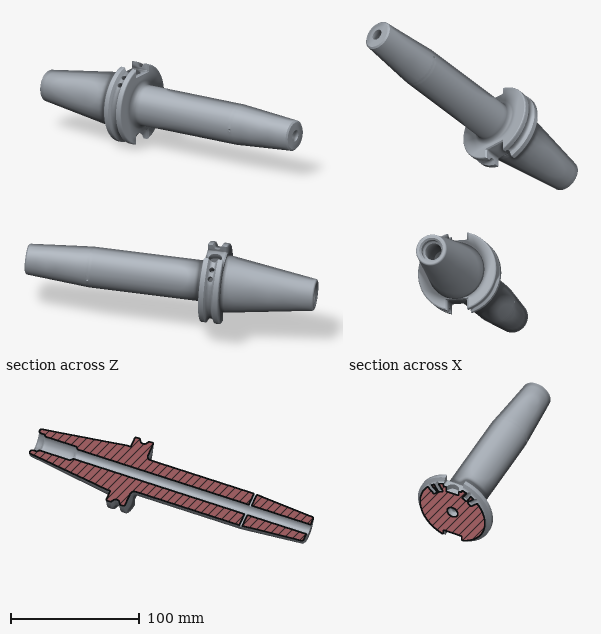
import cadquery as cq
import math


total_length = 228.2
shank_length = 68.2
nose_end = total_length - shank_length
flange_start = 3.2
flange_end = 19.0

gauge_diameter = 44.5
gauge_radius = gauge_diameter / 2
taper_slope = 7 / 48
shank_end_radius = gauge_radius - shank_length * taper_slope
shank_end_fillet = 1.4

flange_radius = 31.7
flange_fillet = 1.1
groove_center = 11.2
groove_width = 7.3
groove_floor_radius = 28.3
groove_flank_angle = math.radians(30)
groove_fillet = 1.8
groove_flank_run = (flange_radius - groove_floor_radius) * math.tan(groove_flank_angle)
groove_floor_half = groove_width / 2 - groove_flank_run

body_radius = 16.0
body_fillet = 3.2
nose_angle = math.radians(4.5)
nose_diameter = 24.0
nose_radius = nose_diameter / 2
nose_chamfer = 1.1
blend_length = 4.0

slot_width = 16.0
upper_slot_floor = 24.9
lower_slot_floor = 22.5
slot_corner_fillet = 1.0
slot_bevel_length = 1.1
slot_bevel_side = 1.4
slot_bevel_drop = 0.7

pocket_diameter = 10.3
pocket_depth = 4.5

radial_hole_diameter = 4.0
radial_hole_floor = 20.5
radial_hole_angles = (30, 45)

bore_diameter = 9.0
bore_radius = bore_diameter / 2
thread_radius = 6.6
thread_depth = 32.0
pilot_radius = 8.2
pilot_depth = 5.0
mouth_radius = 9.5

vent_diameter = 2.0
vent_position = 109.5


def make_blank():
    """Revolve the outer outline: shank, flange and body up to the nose."""
    blend_radius = blend_length / math.sin(nose_angle)
    corner_gap = blend_radius * math.tan(nose_angle / 2)
    corner = nose_end - (body_radius - nose_radius) / math.tan(nose_angle)
    blend_start = corner - corner_gap
    blend_end = blend_start + blend_length
    blend_end_radius = body_radius - blend_radius * (1 - math.cos(nose_angle))
    blend_middle = (
        blend_start + blend_radius * math.sin(nose_angle / 2),
        body_radius - blend_radius * (1 - math.cos(nose_angle / 2)),
    )
    outline = (
        cq.Workplane("XZ")
        .moveTo(-shank_length, 0)
        .lineTo(-shank_length, shank_end_radius)
        .lineTo(0, gauge_radius)
        .lineTo(flange_start, gauge_radius)
        .lineTo(flange_start, flange_radius)
        .lineTo(groove_center - groove_width / 2, flange_radius)
        .lineTo(groove_center - groove_floor_half, groove_floor_radius)
        .lineTo(groove_center + groove_floor_half, groove_floor_radius)
        .lineTo(groove_center + groove_width / 2, flange_radius)
        .lineTo(flange_end, flange_radius)
        .lineTo(flange_end, body_radius)
        .lineTo(blend_start, body_radius)
        .threePointArc(blend_middle, (blend_end, blend_end_radius))
        .lineTo(nose_end, nose_radius)
        .lineTo(nose_end, 0)
        .close()
    )
    return outline.revolve(360, (0, 0, 0), (1, 0, 0))


def ring_edge(solid, position, radius):
    """Pick the circular edge at a place along X with a given radius."""
    tolerance = 0.02
    rings = [
        edge
        for edge in solid.edges("%CIRCLE").vals()
        if abs(edge.radius() - radius) < tolerance
        and abs(edge.arcCenter().x - position) < tolerance
    ]
    return solid.newObject(rings)


def round_edges(blank):
    """Round the shank end, flange rims, groove and body root; chamfer the nose."""
    blank = ring_edge(blank, -shank_length, shank_end_radius).fillet(shank_end_fillet)
    for face in (flange_start, flange_end):
        blank = ring_edge(blank, face, flange_radius).fillet(flange_fillet)
    for side in (-1, 1):
        floor_edge = groove_center + side * groove_floor_half
        blank = ring_edge(blank, floor_edge, groove_floor_radius).fillet(groove_fillet)
    blank = ring_edge(blank, flange_end, body_radius).fillet(body_fillet)
    return ring_edge(blank, nose_end, nose_radius).chamfer(nose_chamfer)


def make_slot(floor, direction):
    """Drive slot with beveled ends, open outwards along +Z or -Z."""
    height = flange_radius
    length = flange_end - flange_start
    slot = (
        cq.Workplane("YZ", origin=(flange_start, 0, direction * (floor + height / 2)))
        .rect(slot_width, height)
        .extrude(length)
        .edges("|X")
        .fillet(slot_corner_fillet)
    )
    for face, outward in ((flange_start, -1), (flange_end, 1)):
        bevel = (
            cq.Workplane("YZ", origin=(face, 0, direction * (floor + height / 2)))
            .rect(slot_width + 2 * slot_bevel_side, height + 2 * slot_bevel_drop)
            .workplane(offset=-outward * slot_bevel_length)
            .rect(slot_width, height)
            .loft()
        )
        slot = slot.union(bevel)
    return slot


def make_bore():
    """Through bore widened at the shank end, with 45 degree steps and mouth."""
    mouth_length = mouth_radius - pilot_radius
    pilot_step = pilot_radius - thread_radius
    thread_step = thread_radius - bore_radius
    outline = (
        cq.Workplane("XZ")
        .moveTo(-shank_length, 0)
        .lineTo(-shank_length, mouth_radius)
        .lineTo(-shank_length + mouth_length, pilot_radius)
        .lineTo(-shank_length + pilot_depth, pilot_radius)
        .lineTo(-shank_length + pilot_depth + pilot_step, thread_radius)
        .lineTo(-shank_length + thread_depth, thread_radius)
        .lineTo(-shank_length + thread_depth + thread_step, bore_radius)
        .lineTo(nose_end, bore_radius)
        .lineTo(nose_end, 0)
        .close()
    )
    return outline.revolve(360, (0, 0, 0), (1, 0, 0))


def make_radial_hole(angle):
    """Blind hole into the groove floor, turned about X away from +Z."""
    hole = (
        cq.Workplane("XY", origin=(groove_center, 0, radial_hole_floor))
        .circle(radial_hole_diameter / 2)
        .extrude(flange_radius - radial_hole_floor)
    )
    return hole.rotate((0, 0, 0), (1, 0, 0), angle)


def make_pocket():
    """Blind round pocket sunk below the floor of the upper slot."""
    return (
        cq.Workplane("XY", origin=(groove_center, 0, upper_slot_floor - pocket_depth))
        .circle(pocket_diameter / 2)
        .extrude(pocket_depth)
    )


def make_vent():
    """Cross hole along Y, through both walls of the body."""
    return (
        cq.Workplane("XZ", origin=(vent_position, 0, 0))
        .circle(vent_diameter / 2)
        .extrude(body_radius, both=True)
    )


result = round_edges(make_blank())
result = result.cut(make_slot(upper_slot_floor, 1))
result = result.cut(make_slot(lower_slot_floor, -1))
result = result.cut(make_pocket())
for angle in radial_hole_angles:
    for side in (-1, 1):
        result = result.cut(make_radial_hole(side * angle))
result = result.cut(make_bore())
result = result.cut(make_vent())